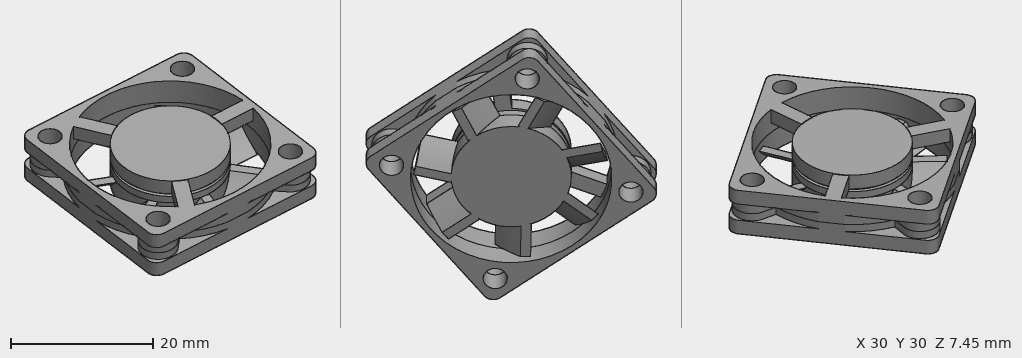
import cadquery as cq
import math

frame_side = 30.0
frame_height = 7.35
split_height = 3.5
corner_radius = 1.6
plate_thickness = 2.3

bore_diameter = 28.3
wall_outer_diameter = 30.25

hole_diameter = 3.4
hole_spacing = 24.0
post_diameter = 5.65

hub_diameter = 16.9
hub_top = 7.45
groove_diameter = 15.8
groove_top = 5.13
groove_bottom = 4.65
spoke_count = 3
spoke_width = 2.35
first_spoke_angle = 90

blade_count = 7
blade_tip_radius = 13.4
blade_bottom = 0.5
blade_width = 1.45
blade_start = -2.0
blade_run = 3.57
blade_sag = 0.15


def cylinder(diameter, bottom, top):
    """Upright cylinder on the fan axis between two heights."""
    return cq.Workplane("XY", origin=(0, 0, bottom)).circle(diameter / 2).extrude(top - bottom)


def rounded_square(bottom, top):
    """Square frame outline with rounded corners between two heights."""
    block = cq.Workplane("XY", origin=(0, 0, bottom)).rect(frame_side, frame_side).extrude(top - bottom)
    return block.edges("|Z").fillet(corner_radius)


def diagonal_web(angle, bottom, top):
    """Round-ended bar whose two ends form the posts of opposite corners."""
    length = hole_spacing * math.sqrt(2) + post_diameter
    bar = cq.Workplane("XY", origin=(0, 0, bottom)).slot2D(length, post_diameter).extrude(top - bottom)
    return bar.rotate((0, 0, 0), (0, 0, 1), angle)


def mounting_holes(bottom, top):
    """Four corner holes between two heights."""
    return (
        cq.Workplane("XY", origin=(0, 0, bottom))
        .rect(hole_spacing, hole_spacing, forConstruction=True).vertices()
        .circle(hole_diameter / 2).extrude(top - bottom)
    )


def frame_half(bottom, top, plate_bottom):
    """Duct wall, corner posts and one square plate, with the bore and holes cut through."""
    half = cylinder(wall_outer_diameter, bottom, top)
    for angle in (45, 135):
        half = half.union(diagonal_web(angle, bottom, top))
    half = half.intersect(rounded_square(bottom, top))
    half = half.union(rounded_square(plate_bottom, plate_bottom + plate_thickness))
    return half.cut(mounting_holes(bottom, top)).cut(cylinder(bore_diameter, bottom, top))


def make_spoke(angle):
    """Radial bar from the fan axis into the duct wall, flush with the frame top."""
    reach = (bore_diameter + wall_outer_diameter) / 4
    bar = (
        cq.Workplane("XY", origin=(reach / 2, 0, groove_top))
        .rect(reach, spoke_width).extrude(frame_height - groove_top)
    )
    return bar.rotate((0, 0, 0), (0, 0, 1), angle)


def make_motor_hub():
    """Hub with a narrow groove around it, ending at the split between the halves."""
    lower_band = cylinder(hub_diameter, split_height, groove_bottom)
    neck = cylinder(groove_diameter, groove_bottom, groove_top)
    cap = cylinder(hub_diameter, groove_top, hub_top)
    return lower_band.union(neck).union(cap)


def make_lower_frame():
    """Lower half, with its plate at the bottom."""
    return frame_half(0, split_height, 0)


def make_upper_frame():
    """Upper half, with its plate at the top, the spokes and the motor hub."""
    frame = frame_half(split_height, frame_height, frame_height - plate_thickness)
    for i in range(spoke_count):
        frame = frame.union(make_spoke(first_spoke_angle + i * 360 / spoke_count))
    return frame.union(make_motor_hub())


def make_blade():
    """Blade along +Y: a curved, leaning section with flat top and bottom."""
    rise = split_height - blade_bottom
    chord = math.hypot(blade_run, rise)
    arc_x = blade_start + blade_run / 2 - blade_sag * rise / chord
    arc_z = blade_bottom + rise / 2 - blade_sag * blade_run / chord
    blade_end = blade_start + blade_run
    return (
        cq.Workplane("XZ")
        .moveTo(blade_start, split_height)
        .lineTo(blade_start + blade_width, split_height)
        .threePointArc((arc_x + blade_width, arc_z), (blade_end + blade_width, blade_bottom))
        .lineTo(blade_end, blade_bottom)
        .threePointArc((arc_x, arc_z), (blade_start, split_height))
        .close()
        .extrude(-blade_tip_radius)
    )


def make_impeller():
    """Rotor drum under the motor hub, with its ring of blades."""
    impeller = cylinder(hub_diameter, blade_bottom, split_height)
    blade = make_blade()
    for i in range(blade_count):
        impeller = impeller.union(blade.rotate((0, 0, 0), (0, 0, 1), i * 360 / blade_count))
    return impeller


lower_frame = make_lower_frame()
upper_frame = make_upper_frame()
impeller = make_impeller()

result = cq.Compound.makeCompound([lower_frame.val(), upper_frame.val(), impeller.val()])